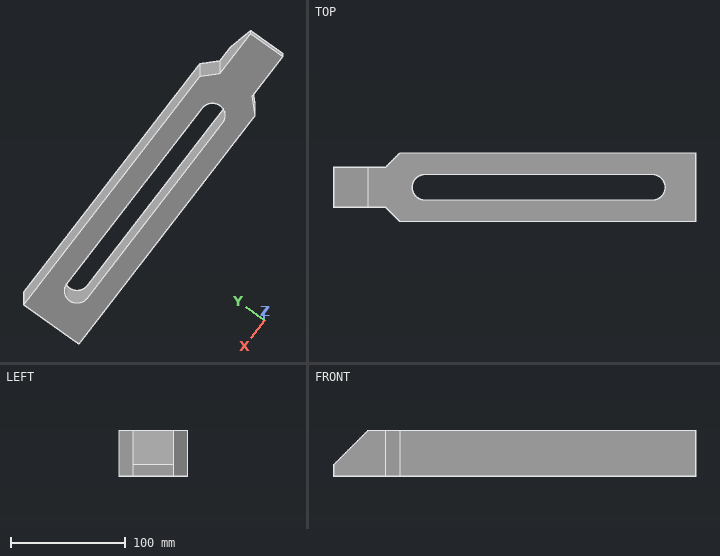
import cadquery as cq

length = 315.0
width = 60.0
height = 40.0

nose_width = 35.0
nose_length = 45.0
nose_slope = 30.0

slot_start = 68.5
slot_length = 220.0
slot_width = 22.0

shoulder = (width - nose_width) / 2


def bar_body():
    """Bar extruded from its plan outline, with the nose tip at X = 0."""
    half_width = width / 2
    half_nose = nose_width / 2
    shoulder_end = nose_length + shoulder
    outline = [
        (0, -half_nose),
        (nose_length, -half_nose),
        (shoulder_end, -half_width),
        (length, -half_width),
        (length, half_width),
        (shoulder_end, half_width),
        (nose_length, half_nose),
        (0, half_nose),
    ]
    return cq.Workplane("XY").polyline(outline).close().extrude(height)


def nose_wedge():
    """Triangular wedge removed from the top of the nose."""
    corners = [(0, height), (nose_slope, height), (0, height - nose_slope)]
    return cq.Workplane("XZ").polyline(corners).close().extrude(width / 2, both=True)


def clamping_slot():
    """Slot cutter running along X through the full height."""
    return (
        cq.Workplane("XY")
        .center(slot_start + slot_length / 2, 0)
        .slot2D(slot_length, slot_width)
        .extrude(height)
    )


result = bar_body().cut(nose_wedge()).cut(clamping_slot())